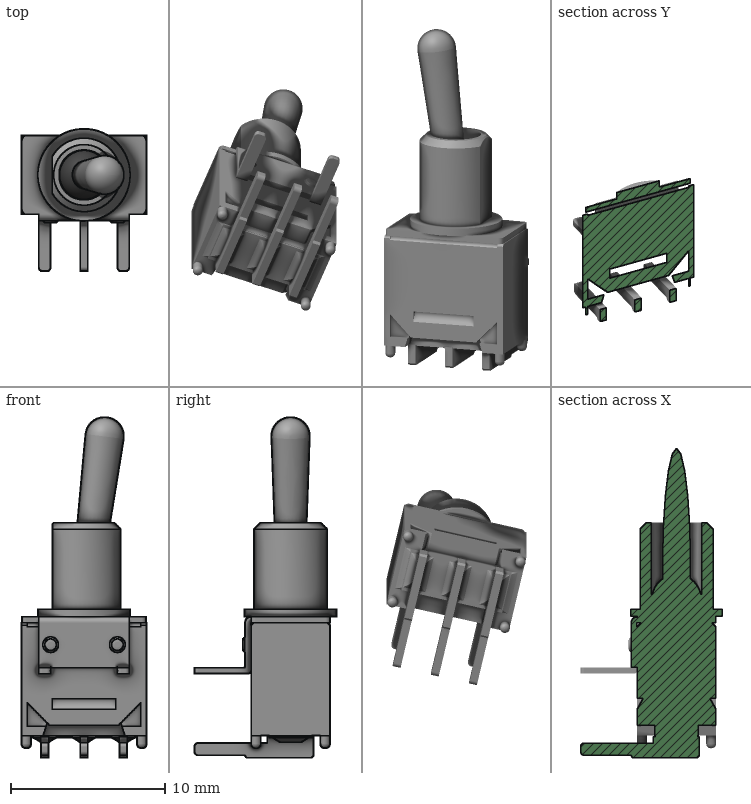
import cadquery as cq
import math

HEIGHT, DEPTH = 22.1, 9.25
TOP_Z = 20.67
BOTTOM_Z = TOP_Z - HEIGHT
OVERLAP = 0.1

BODY_X, BODY_Y, BODY_Z = 8.14, 5.13, 7.32
WALL = 0.4
BODY_CHAMFER = 0.27
WALL_CHAMFER = 0.15

POCKET_DEPTH = 0.27
POCKET_FLOOR_Z = 0.6
POCKET_TOP_Z = 2.12
NOTCH_TOP_Z = 0.66
NOTCH_TOP_HALF = 2.23
NOTCH_SIDE_HALF, NOTCH_SIDE_Z = 2.39, 0.85
NOTCH_BOTTOM_HALF = 2.65
CORE_HALF_Y = 1.42
SLOT_X, SLOT_DEPTH = 4.13, 0.38
SLOT_BOTTOM_Z, SLOT_TOP_Z = 1.72, 2.4

PEG_D, PEG_LENGTH, PEG_ROUND = 0.65, 0.82, 0.29

SHEET = 0.4
COVER_X = 8.05
COVER_CORNER_R = 0.29
COVER_TOP_Z = BODY_Z + SHEET
BRACKET_X = 5.88
BRACKET_BOTTOM_Z = 4.02
BRACKET_FRONT_Y = -BODY_Y / 2 - SHEET
LEG_BEND_R, LEG_INNER_R = 0.2, 0.05
LEG_X, LEG_TIP_R = 0.77, 0.25

RIVET_X, RIVET_Z = 2.17, 5.9
RIVET_BASE_D, RIVET_RIM_D, RIVET_CENTRE_D = 1.02, 0.75, 0.38
RIVET_RIM_H, RIVET_H = 0.13, 0.15

FLANGE_D, FLANGE_TOP_Z = 6.0, 8.2
BUSHING_D, BUSHING_TOP_Z = 4.78, 13.82
BUSHING_CHAMFER = 0.42
BUSHING_FLAT_X = -2.05
BORE_D = 3.25

TILT = 7.2
PIVOT_Z = 8.85
BALL_R = BORE_D / 2
BORE_FLOOR_Z = 9.18
LEVER_ROOT_R, TIP_R = 0.88, 1.25
LEVER_LENGTH = (TOP_Z - TIP_R - PIVOT_Z) / math.cos(math.radians(TILT))

TERMINAL_PITCH, TERMINAL_X = 2.55, 0.5
TERMINAL_END_Y = FLANGE_D / 2 - DEPTH
TERMINAL_BACK_Y, SHOULDER_Y = 1.5, -1.53
TERMINAL_STEP_Y = -2.98
LEG_TOP_Z, LEG_BOTTOM_Z = -0.46, -1.28
TERMINAL_TIP_R = 0.27
TERMINAL_CHAMFER = 0.13
SEAL_X, SEAL_H = 6.72, 0.13
TERMINAL_TOP_Z = -SEAL_H / 2
FILLET_HEIGHT, FILLET_WIDTH = 0.45, 0.95
FILLET_SAG = 0.1
FILLET_BASE_HALF_Y, FILLET_TIP_HALF_Y = 1.4, 0.66


def box(x_range, y_range, z_range):
    """Block between the given limits."""
    size = [high - low for low, high in (x_range, y_range, z_range)]
    corner = (x_range[0], y_range[0], z_range[0])
    return cq.Workplane("XY").box(*size, centered=False).translate(corner)


def prism_x(points, width):
    """Extrude a Y-Z outline symmetrically about X = 0."""
    return cq.Workplane("YZ").polyline(points).close().extrude(width / 2, both=True)


def prism_y(points, front_y, depth):
    """Extrude an X-Z outline from front_y toward +Y."""
    plane = cq.Workplane("XZ", origin=(0, front_y, 0))
    return plane.polyline(points).close().extrude(-depth)


def make_front_recesses():
    """Bottom notch, two corner pockets and a wedge slot in the -Y face."""
    front_y = -BODY_Y / 2
    right_notch = [
        (NOTCH_TOP_HALF, NOTCH_TOP_Z),
        (NOTCH_SIDE_HALF, NOTCH_SIDE_Z),
        (NOTCH_BOTTOM_HALF, 0),
    ]
    left_notch = [(-x, z) for x, z in reversed(right_notch)]
    recesses = prism_y(left_notch + right_notch, front_y, BODY_Y / 2 - CORE_HALF_Y)

    pocket_side = BODY_X / 2 - WALL
    for side in (-1, 1):
        pocket = [
            (side * NOTCH_TOP_HALF, NOTCH_TOP_Z),
            (side * NOTCH_TOP_HALF, POCKET_FLOOR_Z),
            (side * pocket_side, POCKET_FLOOR_Z),
            (side * pocket_side, POCKET_TOP_Z),
        ]
        recesses = recesses.union(prism_y(pocket, front_y, POCKET_DEPTH))

    slot = [
        (front_y, SLOT_BOTTOM_Z),
        (front_y, SLOT_TOP_Z),
        (front_y + SLOT_DEPTH, SLOT_TOP_Z),
    ]
    return recesses.union(prism_x(slot, SLOT_X))


def make_housing():
    """Core between two side walls, recessed alike on the -Y and +Y faces."""
    core = cq.Workplane("XY").box(BODY_X - 2 * WALL, BODY_Y, BODY_Z, centered=(True, True, False))
    housing = core.faces(">Z").edges("|X").chamfer(BODY_CHAMFER)
    for side in (-1, 1):
        wall = cq.Workplane("XY").box(WALL, BODY_Y, BODY_Z, centered=(True, True, False))
        wall = wall.faces(">Z").edges("|X").chamfer(WALL_CHAMFER)
        housing = housing.union(wall.translate((side * (BODY_X - WALL) / 2, 0, 0)))
    recesses = make_front_recesses()
    return housing.cut(recesses).cut(recesses.mirror("XZ"))


def make_pegs():
    peg = cq.Workplane("XY").circle(PEG_D / 2).extrude(-PEG_LENGTH - OVERLAP)
    peg = peg.faces("<Z").edges().fillet(PEG_ROUND).translate((0, 0, OVERLAP))
    spacing = (BODY_X - PEG_D, BODY_Y - PEG_D)
    centres = cq.Workplane("XY").rect(*spacing, forConstruction=True).vertices()
    return centres.eachpoint(lambda place: peg.val().moved(place), combine=False)


def make_cover():
    cover = cq.Workplane("XY", origin=(0, 0, BODY_Z)).rect(COVER_X, BODY_Y).extrude(SHEET)
    return cover.edges("|Z").fillet(COVER_CORNER_R)


def make_bracket():
    """Sheet tab bent down the -Y face, its two legs bent outward, with rivet heads."""
    back_y = BRACKET_FRONT_Y + SHEET
    leg_top_z = BRACKET_BOTTOM_Z + SHEET
    half_x = BRACKET_X / 2

    tab = box((-half_x, half_x), (BRACKET_FRONT_Y, back_y + OVERLAP), (BODY_Z, COVER_TOP_Z))
    tab = tab.union(box((-half_x, half_x), (BRACKET_FRONT_Y, back_y), (leg_top_z, BODY_Z)))
    bracket = tab.edges("|X and >Z and <Y").fillet(SHEET)

    for side in (-1, 1):
        profile = [
            (back_y, leg_top_z + SHEET),
            (BRACKET_FRONT_Y, leg_top_z + SHEET),
            (BRACKET_FRONT_Y, leg_top_z),
            (TERMINAL_END_Y, leg_top_z),
            (TERMINAL_END_Y, BRACKET_BOTTOM_Z),
            (back_y, BRACKET_BOTTOM_Z),
        ]
        leg = prism_x(profile, LEG_X)
        inner_bend = cq.selectors.NearestToPointSelector((0, BRACKET_FRONT_Y, leg_top_z))
        leg = leg.edges("|X").edges(inner_bend).fillet(LEG_INNER_R)
        leg = leg.edges("|X and <Z and >Y").fillet(LEG_BEND_R)
        leg = leg.edges("|Z and <Y").fillet(LEG_TIP_R)
        bracket = bracket.union(leg.translate((side * (half_x - LEG_X / 2), 0, 0)))

        rivet_outline = [
            (0, -OVERLAP),
            (RIVET_BASE_D / 2, -OVERLAP),
            (RIVET_BASE_D / 2, 0),
            (RIVET_RIM_D / 2, RIVET_RIM_H),
            (RIVET_CENTRE_D / 2, RIVET_H),
            (0, RIVET_H),
        ]
        plane = cq.Workplane("XY").polyline(rivet_outline).close()
        rivet = plane.revolve(360, (0, 0, 0), (0, 1, 0)).rotate((0, 0, 0), (0, 0, 1), 180)
        bracket = bracket.union(rivet.translate((side * RIVET_X, BRACKET_FRONT_Y, RIVET_Z)))
    return bracket


def make_bushing():
    flange = cq.Workplane("XY", origin=(0, 0, COVER_TOP_Z)).circle(FLANGE_D / 2)
    flange = flange.extrude(FLANGE_TOP_Z - COVER_TOP_Z)

    sleeve_height = BUSHING_TOP_Z - COVER_TOP_Z
    sleeve = cq.Workplane("XY", origin=(0, 0, COVER_TOP_Z)).circle(BUSHING_D / 2).extrude(sleeve_height)
    sleeve = sleeve.faces(">Z").edges().chamfer(BUSHING_CHAMFER)
    radius = BUSHING_D / 2
    flat_cut = box((-BUSHING_D, BUSHING_FLAT_X), (-radius, radius), (COVER_TOP_Z, BUSHING_TOP_Z))

    bore = cq.Workplane("XY", origin=(0, 0, BORE_FLOOR_Z)).circle(BORE_D / 2)
    bore = bore.extrude(BUSHING_TOP_Z - BORE_FLOOR_Z)
    return flange.union(sleeve.cut(flat_cut)).cut(bore)


def make_lever():
    """Tapered bat with a round tip on a pivot ball, tilted toward +X."""
    outline = cq.Workplane("XZ").lineTo(LEVER_ROOT_R, 0).lineTo(TIP_R, LEVER_LENGTH)
    arc_middle = (
        TIP_R * math.cos(math.pi / 4),
        LEVER_LENGTH + TIP_R * math.sin(math.pi / 4),
    )
    outline = outline.threePointArc(arc_middle, (0, LEVER_LENGTH + TIP_R)).close()
    bat = outline.revolve(360, (0, 0, 0), (0, 1, 0))
    bat = bat.rotate((0, 0, 0), (0, 1, 0), TILT)
    ball_top = cq.Workplane("XY").sphere(BALL_R, angle1=0)
    return ball_top.union(bat).translate((0, 0, PIVOT_Z))


def make_terminal():
    profile = [
        (TERMINAL_BACK_Y, TERMINAL_TOP_Z),
        (SHOULDER_Y, TERMINAL_TOP_Z),
        (SHOULDER_Y, LEG_TOP_Z),
        (TERMINAL_END_Y, LEG_TOP_Z),
        (TERMINAL_END_Y, LEG_BOTTOM_Z),
        (TERMINAL_STEP_Y, LEG_BOTTOM_Z),
        (TERMINAL_STEP_Y + TERMINAL_CHAMFER, BOTTOM_Z),
        (TERMINAL_BACK_Y, BOTTOM_Z),
    ]
    terminal = prism_x(profile, TERMINAL_X)
    terminal = terminal.edges("|X and <Y").fillet(TERMINAL_TIP_R)
    return terminal.edges("|X and <Z and >Y").chamfer(TERMINAL_CHAMFER)


def make_seal_fillet():
    """Compound creeping down a terminal: hollow arcs across X, straight slopes along Y."""
    near = TERMINAL_X / 2
    far = near + FILLET_WIDTH
    arc_middle = ((near + far) / 2 - FILLET_SAG / 2, -FILLET_HEIGHT / 2 + FILLET_SAG / 2)
    across = cq.Workplane("XZ").moveTo(-far, 0).lineTo(far, 0)
    across = across.threePointArc(arc_middle, (near, -FILLET_HEIGHT))
    across = across.lineTo(-near, -FILLET_HEIGHT)
    across = across.threePointArc((-arc_middle[0], arc_middle[1]), (-far, 0)).close()
    along = [
        (-FILLET_BASE_HALF_Y, 0),
        (FILLET_BASE_HALF_Y, 0),
        (FILLET_TIP_HALF_Y, -FILLET_HEIGHT),
        (-FILLET_TIP_HALF_Y, -FILLET_HEIGHT),
    ]
    return across.extrude(FILLET_BASE_HALF_Y, both=True).intersect(prism_x(along, 2 * far))


def make_terminals():
    seal_half = SEAL_X / 2
    terminals = box((-seal_half, seal_half), (-FILLET_BASE_HALF_Y, FILLET_BASE_HALF_Y), (-SEAL_H, 0))
    unit = make_terminal().union(make_seal_fillet())
    for index in (-1, 0, 1):
        terminals = terminals.union(unit.translate((index * TERMINAL_PITCH, 0, 0)))
    return terminals


result = make_housing()
for piece in (make_pegs(), make_cover(), make_bracket(), make_bushing(), make_lever(), make_terminals()):
    result = result.union(piece)